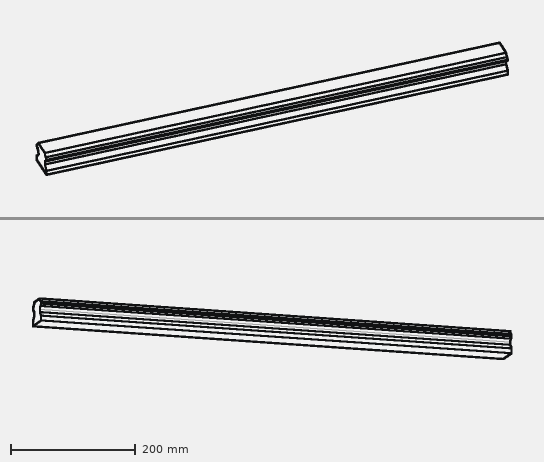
import cadquery as cq
import math

rail_width = 45.0
rail_length = 795.0
rail_height = 38.0

half_width = rail_width / 2
neck_half_width = 15.0

foot_height = 8.0
head_middle = 29.0
head_side_height = 1.5
neck_top = 37.0

lip_inset = 3.0
groove_radius = 5.5


def groove_bottom(lip, neck):
    """Deepest point of the upper groove's arc, below and inside the chord from lip to neck."""
    width = lip[0] - neck[0]
    height = neck[1] - lip[1]
    chord = math.hypot(width, height)
    depth = groove_radius - math.sqrt(groove_radius**2 - (chord / 2) ** 2)
    x = (lip[0] + neck[0]) / 2 - depth * height / chord
    z = (lip[1] + neck[1]) / 2 - depth * width / chord
    return (x, z)


def below_head_middle(point):
    """Mirror image of a point of the head's upper half."""
    return (point[0], 2 * head_middle - point[1])


side_top = head_middle + head_side_height / 2
upper_side = (half_width, side_top)
upper_lip = (half_width - lip_inset, side_top + lip_inset)
upper_neck = (neck_half_width, neck_top)
upper_bottom = groove_bottom(upper_lip, upper_neck)

waist_bottom = foot_height + half_width - neck_half_width

half_section = (
    cq.Workplane("XZ")
    .lineTo(half_width, 0)
    .lineTo(half_width, foot_height)
    .lineTo(neck_half_width, waist_bottom)
    .lineTo(*below_head_middle(upper_neck))
    .threePointArc(below_head_middle(upper_bottom), below_head_middle(upper_lip))
    .lineTo(*below_head_middle(upper_side))
    .lineTo(*upper_side)
    .lineTo(*upper_lip)
    .threePointArc(upper_bottom, upper_neck)
    .lineTo(neck_half_width, rail_height)
    .lineTo(0, rail_height)
)

result = half_section.mirrorY().extrude(rail_length / 2, both=True)